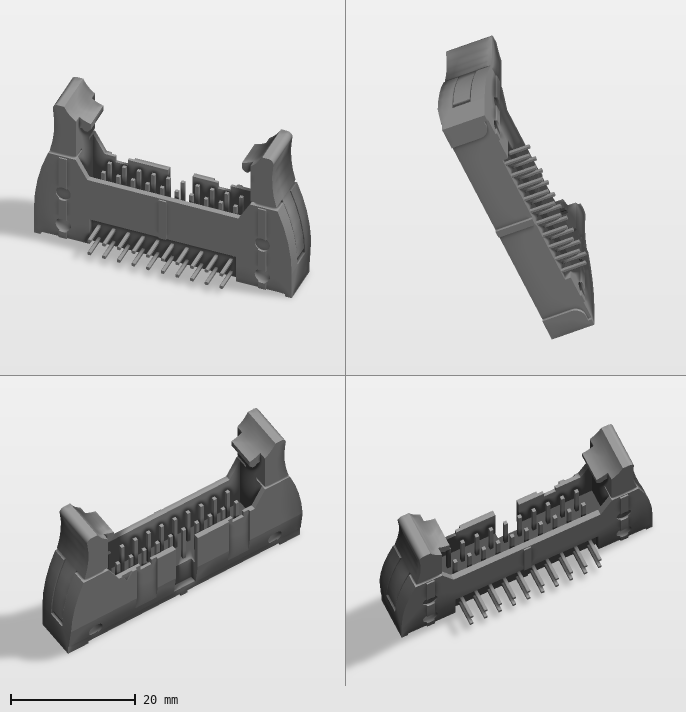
import cadquery as cq

PITCH = 2.54
COLUMNS = 10
LAST_COLUMN_X = (COLUMNS - 1) / 2 * PITCH
PIN_WIDTH = 0.6
TAIL_CHAMFER = 0.1
PIN_EMBED = 0.5
FRONT_ROW_Y = 2.84
PIN_ROWS_Y = (FRONT_ROW_Y, FRONT_ROW_Y + PITCH)
TAIL_ROWS_Z = (PITCH / 2, 3 * PITCH / 2)
PIN_TOP = 13.5
TAIL_END_Y = -3.2

HALF_LENGTH = 22.35
DEPTH = 8.2
FOOT_HEIGHT = 0.54
TOWER_TOP = 16.93
FLANK_START_Z = 4.86
FLANK_MID = (21.67, 11.27)
CAVITY_HALF_LENGTH = 15.12
WALL_TOP = 13.44
WALL_HALF_LENGTH = 13.1

CAVITY_FRONT_Y = 0.96
CAVITY_BACK_Y = 7.3
CAVITY_FLOOR = 6.5
BASE_BACK_Y = 7.4
TAPER_LOW_Z = 1.9
TAPER_LOW_Y = 7.6
TAPER_HIGH_Z = 6.2
KEY_SLOT_WIDTH = 4.2
KEY_SLOT_FRONT_Y = 6.35
BACK_GROOVE_CENTRES = (-4 * PITCH, 3 * PITCH)
BACK_GROOVE_WIDTH = 4.0
BACK_GROOVE_Y = 7.8
TOP_NOTCH_WIDTH = 2.15
TOP_NOTCH_DEPTH = 1.1
MARK_X = LAST_COLUMN_X
MARK_WIDTH = 2.0
MARK_HEIGHT = 1.7
MARK_DEPTH = 0.25

RECESS_HALF_LENGTH = 12.73
RECESS_TOP = 5.53
RECESS_DEPTH = 1.0
RIB_HEIGHT = 0.25
CENTRE_RIB_WIDTH = 1.25
CENTRE_RIB_TOP = 13.2
END_RIB_X = 17.26
END_RIB_WIDTH = 1.38
END_RIB_TOP = 16.66
HOLE_Z = 3.07
HOLE_DIAMETER = 2.65
SPOT_Z = 9.47
SPOT_DIAMETER = 2.6
SPOT_DEPTH = 0.2

FOOT_INNER_X = 18.46
FOOT_STEP_X = 21.2
FOOT_STEP_Y = 0.6
FOOT_RADIUS = 1.8

LATCH_FRONT_Y = 0.15
LATCH_BACK_Y = 8.1
LATCH_BOTTOM = 17.47
LATCH_BOTTOM_X = 19.66
LATCH_TOP = 27.0
LATCH_BACK_MID = (18.89, 22.4)
LATCH_SHOULDER = (19.1, 25.8)
LATCH_CROWN_MID = (18.95, 26.65)
LATCH_TOP_OUTER_X = 18.15
LATCH_TOP_INNER_X = 17.15
HOOK_SLOPE_MID_Z = 24.6
HOOK_TIP_TOP = 23.7
HOOK_TIP_BOTTOM = 22.6
HOOK_LIP_BOTTOM = 22.0
HOOK_LIP_TIP_X = 13.65
HOOK_LIP_HEEL_X = 14.15
HOOK_UNDERSIDE = 22.44
HOOK_UNDERSIDE_X = 14.55
HOOK_FRONT_Y = 1.5
HOOK_BACK_Y = 6.75
STEM_FRONT_Y = 2.7
STEM_BACK_Y = 5.55
STEM_BOTTOM = 6.2
STEM_SETBACK = 0.1
SLOT_FRONT_Y = 2.45
SLOT_BACK_Y = 5.7
SLOT_BOTTOM = 5.12
SLOT_DEPTH = 0.5


def box(x0, x1, y0, y1, z0, z1):
    """Axis-aligned block between two corners."""
    return cq.Workplane("XY").box(x1 - x0, y1 - y0, z1 - z0, centered=False).translate((x0, y0, z0))


def extrude_y(profile, y0, y1):
    """Extrude a closed XZ profile from y0 to y1."""
    return profile.extrude(-(y1 - y0)).translate((0, y0, 0))


def both_ends(shape):
    """The shape together with its mirror image at the other end."""
    return shape.union(shape.mirror("YZ"))


def end_profile(setback):
    """Tower outline at the +X end, with its curved flank moved inward by setback."""
    return (
        cq.Workplane("XZ")
        .moveTo(0, FOOT_HEIGHT)
        .lineTo(HALF_LENGTH - setback, FOOT_HEIGHT)
        .lineTo(HALF_LENGTH - setback, FLANK_START_Z)
        .threePointArc((FLANK_MID[0] - setback, FLANK_MID[1]), (LATCH_BOTTOM_X - setback, LATCH_BOTTOM))
        .lineTo(CAVITY_HALF_LENGTH, LATCH_BOTTOM)
        .lineTo(CAVITY_HALF_LENGTH, TOWER_TOP)
        .lineTo(WALL_HALF_LENGTH, WALL_TOP)
        .lineTo(0, WALL_TOP)
        .close()
    )


def foot():
    """Foot at the +X end: set back in front, with one rounded inner corner."""
    outer = box(FOOT_STEP_X, HALF_LENGTH, 0, DEPTH, 0, FOOT_HEIGHT)
    inner = box(FOOT_INNER_X, FOOT_STEP_X, FOOT_STEP_Y, DEPTH, 0, FOOT_HEIGHT)
    return outer.union(inner.edges("|Z and <X and <Y").fillet(FOOT_RADIUS))


def housing():
    end = extrude_y(end_profile(0), 0, DEPTH)
    end = end.cut(box(0, HALF_LENGTH, 0, DEPTH, TOWER_TOP, LATCH_BOTTOM))
    body = both_ends(end.union(foot()))
    body = body.cut(box(-CAVITY_HALF_LENGTH, CAVITY_HALF_LENGTH, CAVITY_FRONT_Y, CAVITY_BACK_Y,
                        CAVITY_FLOOR, TOWER_TOP))
    body = body.cut(box(-RECESS_HALF_LENGTH, RECESS_HALF_LENGTH, 0, RECESS_DEPTH, 0, RECESS_TOP))
    taper = (
        cq.Workplane("YZ")
        .polyline([(DEPTH, 0), (BASE_BACK_Y, 0), (BASE_BACK_Y, TAPER_LOW_Z),
                   (TAPER_LOW_Y, TAPER_LOW_Z), (DEPTH, TAPER_HIGH_Z)])
        .close()
        .extrude(HALF_LENGTH, both=True)
    )
    return body.cut(taper)


def back_cuts():
    """Key slot, grooves with their top notches, and the pin 1 triangle."""
    half_slot = KEY_SLOT_WIDTH / 2
    cuts = box(-half_slot, half_slot, KEY_SLOT_FRONT_Y, DEPTH, TAPER_LOW_Z, WALL_TOP)
    for x in BACK_GROOVE_CENTRES:
        half_groove = BACK_GROOVE_WIDTH / 2
        half_notch = TOP_NOTCH_WIDTH / 2
        cuts = cuts.union(box(x - half_groove, x + half_groove, BACK_GROOVE_Y, DEPTH, 0, WALL_TOP))
        cuts = cuts.union(box(x - half_notch, x + half_notch, CAVITY_BACK_Y, DEPTH,
                              WALL_TOP - TOP_NOTCH_DEPTH, WALL_TOP))
    mark = (
        cq.Workplane("XZ")
        .polyline([
            (MARK_X - MARK_WIDTH / 2, WALL_TOP),
            (MARK_X + MARK_WIDTH / 2, WALL_TOP),
            (MARK_X, WALL_TOP - MARK_HEIGHT),
        ])
        .close()
    )
    return cuts.union(extrude_y(mark, DEPTH - MARK_DEPTH, DEPTH))


def cylinder_y(diameter, z, y0, y1):
    return extrude_y(cq.Workplane("XZ").center(END_RIB_X, z).circle(diameter / 2), y0, y1)


def end_ribs():
    half = END_RIB_WIDTH / 2
    return both_ends(box(END_RIB_X - half, END_RIB_X + half, -RIB_HEIGHT, 0, FOOT_HEIGHT, END_RIB_TOP))


def centre_rib():
    """Rib above the recess, and the small bar of the same width under the base."""
    half = CENTRE_RIB_WIDTH / 2
    rib = box(-half, half, -RIB_HEIGHT, 0, RECESS_TOP, CENTRE_RIB_TOP)
    return rib.union(box(-half, half, RECESS_DEPTH, BASE_BACK_Y, 0, FOOT_HEIGHT))


def latch_slots():
    """Shallow slots in the curved flanks around the latch stems."""
    slot = box(CAVITY_HALF_LENGTH, HALF_LENGTH, SLOT_FRONT_Y, SLOT_BACK_Y, SLOT_BOTTOM, TOWER_TOP)
    return both_ends(slot.cut(extrude_y(end_profile(SLOT_DEPTH), 0, DEPTH)))


def latches():
    """Handle with a narrower hook, carried by a stem in the tower slot."""
    outline = (
        cq.Workplane("XZ")
        .moveTo(CAVITY_HALF_LENGTH, LATCH_BOTTOM)
        .lineTo(LATCH_BOTTOM_X, LATCH_BOTTOM)
        .threePointArc(LATCH_BACK_MID, LATCH_SHOULDER)
        .threePointArc(LATCH_CROWN_MID, (LATCH_TOP_OUTER_X, LATCH_TOP))
        .lineTo(LATCH_TOP_INNER_X, LATCH_TOP)
        .threePointArc((CAVITY_HALF_LENGTH, HOOK_SLOPE_MID_Z), (WALL_HALF_LENGTH, HOOK_TIP_TOP))
        .lineTo(WALL_HALF_LENGTH, HOOK_TIP_BOTTOM)
        .lineTo(HOOK_LIP_TIP_X, HOOK_LIP_BOTTOM)
        .lineTo(HOOK_LIP_HEEL_X, HOOK_LIP_BOTTOM)
        .lineTo(HOOK_UNDERSIDE_X, HOOK_UNDERSIDE)
        .lineTo(CAVITY_HALF_LENGTH, HOOK_UNDERSIDE)
        .close()
    )
    latch = extrude_y(outline, LATCH_FRONT_Y, LATCH_BACK_Y)
    for y0, y1 in ((LATCH_FRONT_Y, HOOK_FRONT_Y), (HOOK_BACK_Y, LATCH_BACK_Y)):
        latch = latch.cut(box(WALL_HALF_LENGTH, CAVITY_HALF_LENGTH, y0, y1, LATCH_BOTTOM, LATCH_TOP))
    stem = extrude_y(end_profile(STEM_SETBACK), STEM_FRONT_Y, STEM_BACK_Y).intersect(
        box(CAVITY_HALF_LENGTH, HALF_LENGTH, 0, DEPTH, STEM_BOTTOM, LATCH_BOTTOM)
    )
    return both_ends(latch.union(stem))


def pins():
    """Upright posts in the cavity and horizontal tails in the front recess."""
    columns = [i * PITCH - LAST_COLUMN_X for i in range(COLUMNS)]
    posts = (
        cq.Workplane("XY")
        .workplane(offset=CAVITY_FLOOR - PIN_EMBED)
        .pushPoints([(x, y) for x in columns for y in PIN_ROWS_Y])
        .rect(PIN_WIDTH, PIN_WIDTH)
        .extrude(PIN_TOP - CAVITY_FLOOR + PIN_EMBED)
    )
    tails = (
        cq.Workplane("XZ")
        .pushPoints([(x, z) for x in columns for z in TAIL_ROWS_Z])
        .rect(PIN_WIDTH, PIN_WIDTH)
        .extrude(RECESS_DEPTH - TAIL_END_Y + PIN_EMBED)
        .translate((0, RECESS_DEPTH + PIN_EMBED, 0))
        .edges("|Y").chamfer(TAIL_CHAMFER)
    )
    return posts, tails


result = housing().cut(back_cuts()).cut(latch_slots())
result = result.union(end_ribs()).union(centre_rib())
result = result.cut(both_ends(cylinder_y(HOLE_DIAMETER, HOLE_Z, -RIB_HEIGHT, DEPTH)))
result = result.cut(both_ends(cylinder_y(SPOT_DIAMETER, SPOT_Z, -RIB_HEIGHT, SPOT_DEPTH)))
result = result.union(latches())
for pin_group in pins():
    result = result.union(pin_group)